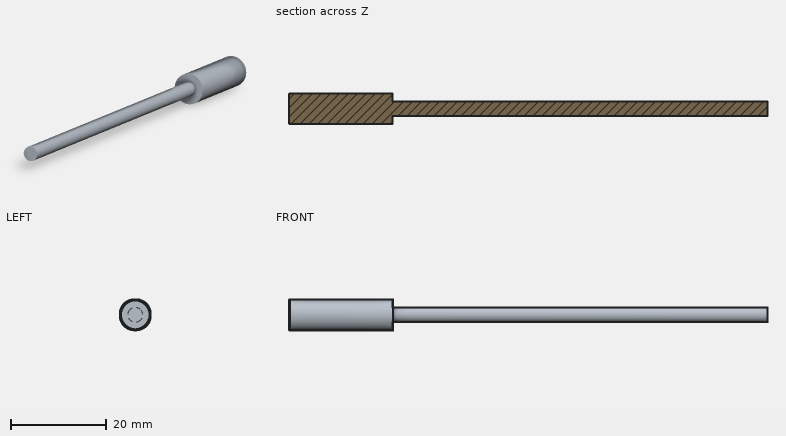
import cadquery as cq

total_length = 100.3
head_length = 21.8
head_diameter = 6.5
stem_diameter = 3.1
head_chamfer = 0.2

stem_length = total_length - head_length


def cylinder_along_x(start_x, length, diameter):
    """Solid round bar centred on the X axis, running toward +X."""
    return cq.Workplane("YZ", origin=(start_x, 0, 0)).circle(diameter / 2).extrude(length)


def make_head():
    """Thick head with its free -X rim broken by a small chamfer."""
    head = cylinder_along_x(0, head_length, head_diameter)
    return head.faces("<X").edges().chamfer(head_chamfer)


stem = cylinder_along_x(head_length, stem_length, stem_diameter)

result = make_head().union(stem)